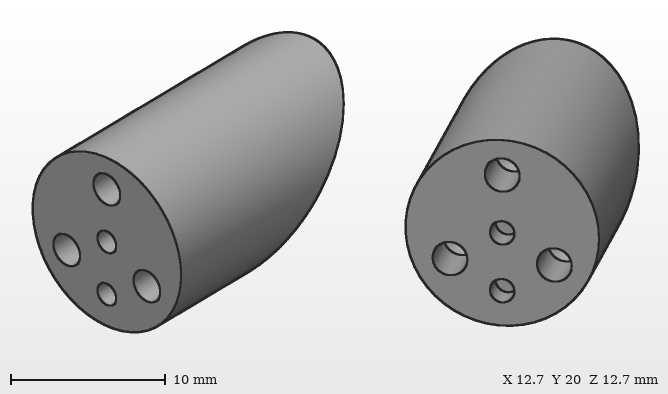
import cadquery as cq
import math

length = 19.98
diameter = 12.7
radius = diameter / 2
short_length = length - diameter
back_y = -length / 2

hole_circle_radius = 3.95
screw_hole_diameter = 2.28
screw_hole_depth = 4.0
drill_tip_angle = 118
screw_hole_angles = (90, 210, 330)
pin_hole_diameter = 1.6
pin_hole_depth = 2.0


def mounting_face(body):
    """Workplane on the mounting face, with local axes along +X and +Z."""
    return body.faces("<Y").workplane(origin=(0, back_y, 0))


def make_body():
    """Cylinder with a square back end and a slanted front face."""
    cylinder = (
        cq.Workplane("XZ", origin=(0, back_y, 0))
        .circle(radius)
        .extrude(-length)
    )
    side_profile = (
        cq.Workplane("YZ")
        .moveTo(back_y, -radius)
        .lineTo(back_y + short_length, -radius)
        .lineTo(back_y + length, radius)
        .lineTo(back_y, radius)
        .close()
        .extrude(radius, both=True)
    )
    return cylinder.intersect(side_profile)


def drill_screw_holes(body):
    """Three equally spaced blind holes, each with a conical drill tip."""
    hole_radius = screw_hole_diameter / 2
    tip_depth = hole_radius / math.tan(math.radians(drill_tip_angle / 2))
    tool = (
        cq.Workplane("XY")
        .lineTo(hole_radius, 0)
        .lineTo(hole_radius, screw_hole_depth)
        .lineTo(0, screw_hole_depth + tip_depth)
        .close()
        .revolve(360, (0, 0, 0), (0, 1, 0))
    )
    for angle in screw_hole_angles:
        x = hole_circle_radius * math.cos(math.radians(angle))
        z = hole_circle_radius * math.sin(math.radians(angle))
        body = body.cut(tool.translate((x, back_y, z)))
    return body


def drill_pin_holes(body):
    """Flat-bottomed holes at the centre and below it on the hole circle."""
    return (
        mounting_face(body)
        .pushPoints([(0, 0), (0, -hole_circle_radius)])
        .hole(pin_hole_diameter, pin_hole_depth)
    )


result = drill_pin_holes(drill_screw_holes(make_body()))